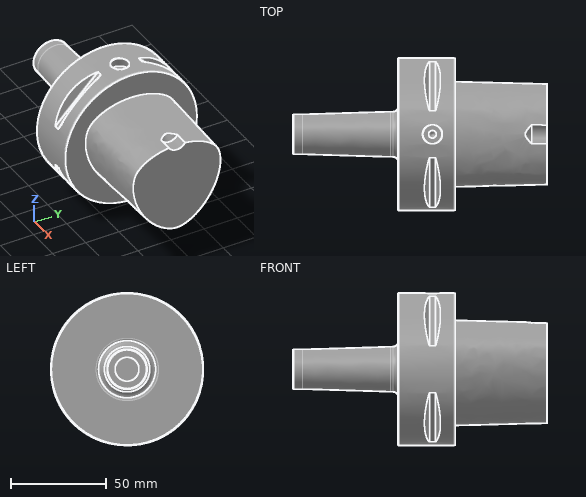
import cadquery as cq
import math

total_length = 133.0
tip_land_end = 4.9
nose_cone_end = 51.0
fillet_start = 52.3
flange_front = 54.9
flange_back = 85.0

tip_diameter = 21.0
nose_root_diameter = 23.8
tip_chamfer = 0.4
bore_diameter = 12.5
bore_depth = 6.0

fillet_radius = 3.0
undercut_outer_radius = 16.4

flange_diameter = 80.0
front_chamfer = 0.4
back_chamfer_length = 0.9
back_chamfer_height = 0.3
feature_station = 73.0

slot_count = 4
slot_floor_distance = 35.6
slot_floor_width = 2.9
slot_wall_width = 4.0
slot_wall_height = 0.5
slot_flank_angle = 30.0
slot_overshoot = 1.3

hole_diameter = 10.0
hole_chamfer = 0.3
hole_depth = 5.0
pilot_diameter = 4.0
pilot_depth = 2.0
drill_point_angle = 118.0

shank_base_radius = 27.6
shank_end_radius = 26.4
lobe_offset = 1.93
lobe_samples = 72

groove_diameter = 11.3
groove_length = 8.1
groove_axis_height = 27.1
groove_point_angle = 90.0


def drilled_tool(diameter, depth, point_angle):
    """Drill shape from the origin down -Z, with a conical point below the given depth."""
    radius = diameter / 2
    point = radius / math.tan(math.radians(point_angle / 2))
    outline = [(0, 0), (radius, 0), (radius, -depth), (0, -depth - point)]
    return cq.Workplane("XZ").polyline(outline).close().revolve(360, (0, 0, 0), (0, 1, 0))


def turned_body():
    tip_radius = tip_diameter / 2
    root_radius = nose_root_diameter / 2
    flange_radius = flange_diameter / 2
    fillet_center_r = root_radius + fillet_radius
    diagonal = fillet_radius * math.sqrt(0.5)
    return (
        cq.Workplane("XY")
        .moveTo(0, 0)
        .lineTo(0, tip_radius - tip_chamfer)
        .lineTo(tip_chamfer, tip_radius)
        .lineTo(tip_land_end, tip_radius)
        .lineTo(nose_cone_end, root_radius)
        .lineTo(fillet_start, root_radius)
        .threePointArc(
            (fillet_start + diagonal, fillet_center_r - diagonal),
            (fillet_start + fillet_radius, fillet_center_r),
        )
        .lineTo(flange_front, undercut_outer_radius)
        .lineTo(flange_front, flange_radius - front_chamfer)
        .lineTo(flange_front + front_chamfer, flange_radius)
        .lineTo(flange_back - back_chamfer_length, flange_radius)
        .lineTo(flange_back, flange_radius - back_chamfer_height)
        .lineTo(flange_back, 0)
        .close()
        .revolve(360, (0, 0, 0), (1, 0, 0))
    )


def lobe_points(mean_radius):
    """Points of a constant-width three-lobed curve with one lobe at -Z."""
    points = []
    for i in range(lobe_samples):
        angle = 2 * math.pi * i / lobe_samples
        reach = mean_radius + lobe_offset * math.sin(3 * angle)
        slope = 3 * lobe_offset * math.cos(3 * angle)
        y = reach * math.cos(angle) - slope * math.sin(angle)
        z = reach * math.sin(angle) + slope * math.cos(angle)
        points.append((y, z))
    return points


def shank():
    return (
        cq.Workplane("YZ", origin=(flange_back, 0, 0))
        .spline(lobe_points(shank_base_radius), periodic=True)
        .close()
        .workplane(offset=total_length - flange_back)
        .spline(lobe_points(shank_end_radius), periodic=True)
        .close()
        .loft(ruled=True)
    )


def slot_cutter():
    """Straight slot across the top of the flange, running along Y."""
    top = flange_diameter / 2 + slot_overshoot
    wall_top = slot_floor_distance + slot_wall_height
    floor_half = slot_floor_width / 2
    wall_half = slot_wall_width / 2
    top_half = wall_half + (top - wall_top) * math.tan(math.radians(slot_flank_angle))
    right_side = [(floor_half, slot_floor_distance), (wall_half, wall_top), (top_half, top)]
    left_side = [(-x, z) for x, z in reversed(right_side)]
    return (
        cq.Workplane("XZ", origin=(feature_station, 0, 0))
        .polyline(right_side + left_side)
        .close()
        .extrude(flange_diameter / 2, both=True)
    )


def radial_hole():
    radius = hole_diameter / 2
    rim_base = cq.Vector(0, 0, -hole_chamfer)
    rim = cq.Solid.makeCone(radius, radius + hole_chamfer, hole_chamfer, rim_base)
    counterbore = cq.Workplane("XY").circle(radius).extrude(-hole_depth)
    pilot = drilled_tool(pilot_diameter, hole_depth + pilot_depth, drill_point_angle)
    return counterbore.union(cq.Workplane(rim)).union(pilot).translate(
        (feature_station, 0, flange_diameter / 2)
    )


def drive_groove():
    return (
        drilled_tool(groove_diameter, groove_length, groove_point_angle)
        .rotate((0, 0, 0), (0, 1, 0), 90)
        .translate((total_length, 0, groove_axis_height))
    )


result = turned_body().union(shank())
result = result.cut(cq.Workplane("YZ").circle(bore_diameter / 2).extrude(bore_depth))
for i in range(slot_count):
    slot_angle = 360 / slot_count * (i + 0.5)
    result = result.cut(slot_cutter().rotate((0, 0, 0), (1, 0, 0), slot_angle))
result = result.cut(radial_hole())
result = result.cut(drive_groove())